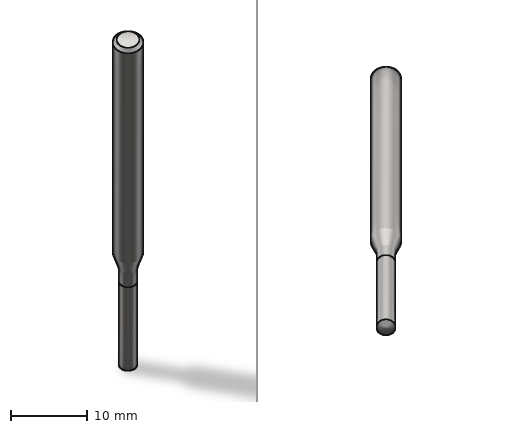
import cadquery as cq
import math

total_length = 62.0
shank_diameter = 4.0
cutter_diameter = 2.5
point_angle = 140.0

cutter_top = 16.3
blend_bottom = 18.7
taper_top = 21.7

taper_half_angle = 15.6
shank_chamfer_width = 0.53
shank_chamfer_height = 0.5
blend_radius = 1.5

shank_radius = shank_diameter / 2
cutter_radius = cutter_diameter / 2
point_height = cutter_radius / math.tan(math.radians(point_angle / 2))


def make_cutter():
    """Cylindrical cutting part with a conical point."""
    profile = [
        (0, 0),
        (cutter_radius, point_height),
        (cutter_radius, cutter_top),
        (0, cutter_top),
    ]
    return cq.Workplane("XZ").polyline(profile).close().revolve(360, (0, 0), (0, 1))


def blend_point(angle):
    """Point (radius, height) on the blend arc, turned by the angle in degrees from the neck."""
    turn = math.radians(angle)
    return (
        cutter_radius + blend_radius * (1 - math.cos(turn)),
        blend_bottom + blend_radius * math.sin(turn),
    )


def make_shank():
    """Neck, concave blend, taper and chamfered shank above the cutting part."""
    return (
        cq.Workplane("XZ")
        .moveTo(0, cutter_top)
        .lineTo(cutter_radius, cutter_top)
        .lineTo(cutter_radius, blend_bottom)
        .threePointArc(blend_point(taper_half_angle / 2), blend_point(taper_half_angle))
        .lineTo(shank_radius, taper_top)
        .lineTo(shank_radius, total_length - shank_chamfer_height)
        .lineTo(shank_radius - shank_chamfer_width, total_length)
        .lineTo(0, total_length)
        .close()
        .revolve(360, (0, 0), (0, 1))
    )


cutter = make_cutter()
shank = make_shank()

result = cq.Compound.makeCompound([cutter.val(), shank.val()])